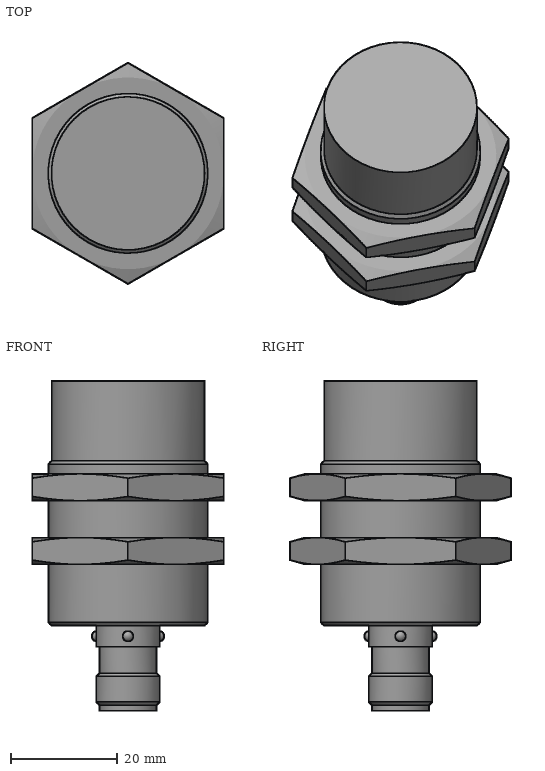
import cadquery as cq
import math

barrel_diameter = 30.0
cap_diameter = 28.75
plug_diameter = 10.8
ring_diameter = 12.0

total_height = 62.0
ring_bottom = 1.05
ring_top = 7.05
collar_bottom = 12.0
barrel_bottom = 16.0
barrel_top = 47.0

barrel_chamfer = (barrel_diameter - cap_diameter) / 2
ring_chamfer = (ring_diameter - plug_diameter) / 2

bump_radius = 1.0
bump_center_radius = ring_diameter / 2 - 0.2
bump_height = (collar_bottom + barrel_bottom) / 2
bump_count = 4

nut_width = 36.0
nut_thickness = 5.0
nut_chamfer_angle = 16.0
upper_nut_bottom = 39.5
nut_spacing = 11.95
nut_count = 2


def cylinder(diameter, bottom, top):
    """Upright cylinder on the Z axis between two heights."""
    return cq.Workplane("XY").workplane(offset=bottom).circle(diameter / 2).extrude(top - bottom)


def make_bump(angle):
    """Ball sunk into the collar wall at the given angle about Z."""
    ball = cq.Workplane("XY").sphere(bump_radius)
    return ball.translate((bump_center_radius, 0, bump_height)).rotate((0, 0, 0), (0, 0, 1), angle)


def make_housing():
    """Cap, barrel and stepped plug, with bumps around the collar."""
    barrel = cylinder(barrel_diameter, barrel_bottom, barrel_top).edges().chamfer(barrel_chamfer)
    ring = cylinder(ring_diameter, ring_bottom, ring_top).edges().chamfer(ring_chamfer)
    housing = cylinder(plug_diameter, 0, barrel_bottom).union(ring)
    housing = housing.union(cylinder(ring_diameter, collar_bottom, barrel_bottom))
    housing = housing.union(barrel)
    housing = housing.union(cylinder(cap_diameter, barrel_top, total_height))
    for index in range(bump_count):
        housing = housing.union(make_bump(index * 360 / bump_count))
    return housing


def make_nut(bottom):
    """Hexagon nut with corners on the Y axis, conical corner chamfers and a barrel-sized bore."""
    corner_radius = nut_width / 2 / math.cos(math.radians(30))
    flat_radius = nut_width / 2
    chamfer_drop = (corner_radius - flat_radius) * math.tan(math.radians(nut_chamfer_angle))
    hexagon = (
        cq.Workplane("XY")
        .polygon(6, 2 * corner_radius)
        .extrude(nut_thickness)
        .rotate((0, 0, 0), (0, 0, 1), 90)
    )
    chamfer_envelope = (
        cq.Workplane("XZ")
        .moveTo(barrel_diameter / 2, 0)
        .lineTo(flat_radius, 0)
        .lineTo(corner_radius, chamfer_drop)
        .lineTo(corner_radius, nut_thickness - chamfer_drop)
        .lineTo(flat_radius, nut_thickness)
        .lineTo(barrel_diameter / 2, nut_thickness)
        .close()
        .revolve(360, (0, 0, 0), (0, 1, 0))
    )
    return hexagon.intersect(chamfer_envelope).translate((0, 0, bottom))


housing = make_housing()
nuts = [make_nut(upper_nut_bottom - index * nut_spacing) for index in range(nut_count)]

result = cq.Compound.makeCompound([housing.solids().val(), *[nut.solids().val() for nut in nuts]])